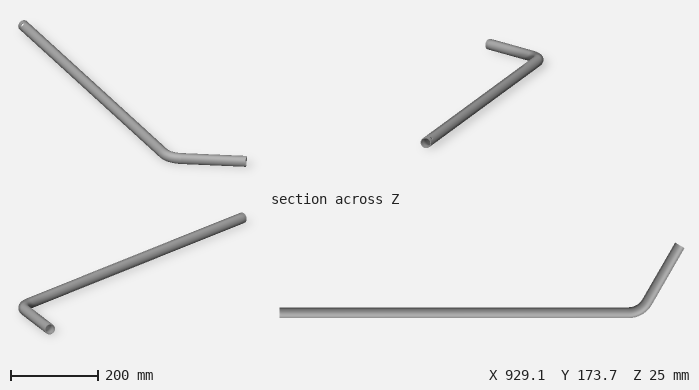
import cadquery as cq
import math

outer_diameter = 25.0
wall = 1.5

long_leg = 800.0
bend_radius = 50.0
bend_angle = 60
short_leg = 150.0

hole_diameter = 8.0
hole_from_end = 15.0
hole_tilt = 45


def tube_centreline():
    """Path of the tube axis in the XY plane, starting at the origin."""
    angle = math.radians(bend_angle)

    def bend_point(turn):
        x = long_leg + bend_radius * math.sin(turn)
        y = bend_radius * (1 - math.cos(turn))
        return x, y

    bend_end_x, bend_end_y = bend_point(angle)
    tip_x = bend_end_x + short_leg * math.cos(angle)
    tip_y = bend_end_y + short_leg * math.sin(angle)
    return (
        cq.Workplane("XY")
        .moveTo(0, 0)
        .lineTo(long_leg, 0)
        .threePointArc(bend_point(angle / 2), (bend_end_x, bend_end_y))
        .lineTo(tip_x, tip_y)
    )


def bent_tube():
    """Ring section swept along the centreline, open at both ends."""
    inner_diameter = outer_diameter - 2 * wall
    section = cq.Workplane("YZ").circle(outer_diameter / 2).circle(inner_diameter / 2)
    return section.sweep(tube_centreline())


def pin_hole():
    """Cutter from the tube axis outwards, passing through one wall only."""
    return (
        cq.Workplane("XY")
        .center(hole_from_end, 0)
        .circle(hole_diameter / 2)
        .extrude(outer_diameter)
        .rotate((0, 0, 0), (1, 0, 0), hole_tilt)
    )


result = bent_tube().cut(pin_hole())